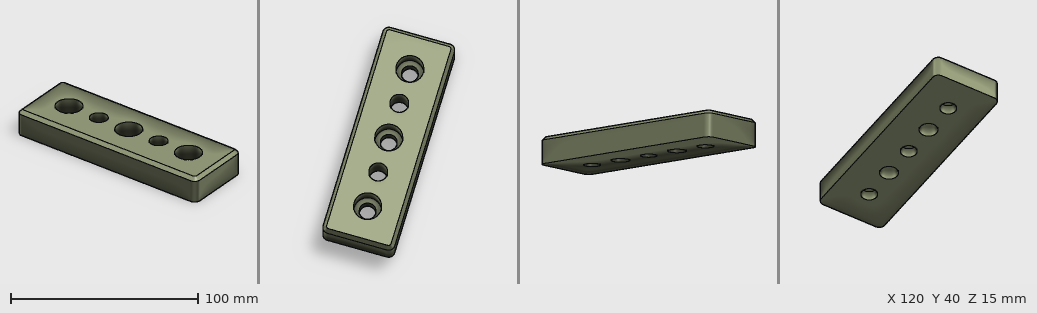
import cadquery as cq

length = 120.0
width = 40.0
height = 15.0
corner_radius = 3.5
top_chamfer = 2.0

hole_pitch = length / 6
plain_diameter = 10.1
screw_diameter = 9.0
counterbore_diameter = 15.0
counterbore_depth = 9.0

plain_positions = [(side * hole_pitch, 0) for side in (-1, 1)]
screw_positions = [(step * hole_pitch, 0) for step in (-2, 0, 2)]


def make_block():
    """Bar standing on Z = 0, with rounded upright corners and a chamfered top rim."""
    block = cq.Workplane("XY").box(length, width, height, centered=(True, True, False))
    return block.edges("|Z").fillet(corner_radius).faces(">Z").chamfer(top_chamfer)


def cut_plain_holes(body):
    """Straight through holes."""
    return body.faces(">Z").workplane(origin=(0, 0, height)).pushPoints(plain_positions).hole(plain_diameter)


def cut_screw_holes(body):
    """Through holes with a counterbore sunk from the top."""
    top = body.faces(">Z").workplane(origin=(0, 0, height))
    return top.pushPoints(screw_positions).cboreHole(
        screw_diameter, counterbore_diameter, counterbore_depth
    )


result = cut_screw_holes(cut_plain_holes(make_block()))